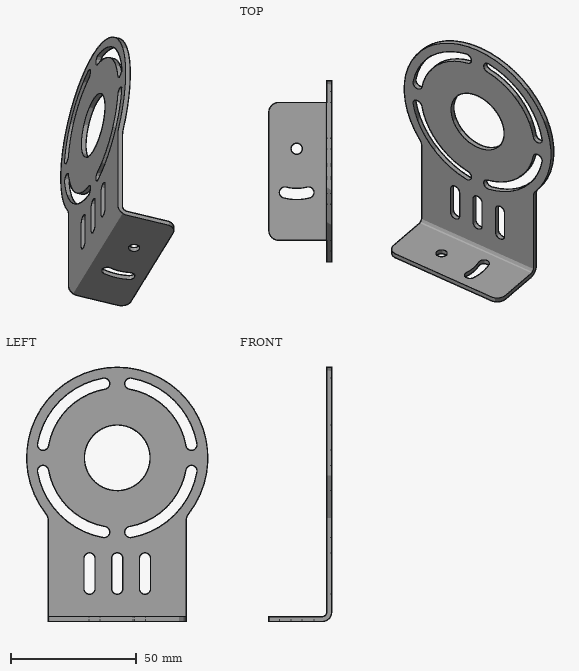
import cadquery as cq
import math


total_height = 101.0
foot_length = 25.0
plate_width = 54.8
head_diameter = 72.0
sheet = 2.0

bend_inner_radius = 1.8
foot_corner_radius = 4.0
neck_radius = 4.0

bore_diameter = 26.0
slot_width = 4.3
ring_radius = 29.9
ring_slot_count = 4
ring_end_angle = 10.0
upright_slot_count = 3
upright_slot_length = 16.4
upright_slot_pitch = 11.0
upright_slot_height = 19.1

pivot_diameter = 4.3
pivot_from_edge = 11.1
pivot_offset = 9.0
pivot_slot_radius = 18.0
pivot_slot_half_angle = 15.0

head_radius = head_diameter / 2
head_height = total_height - head_radius
half_width = plate_width / 2
bend_outer_radius = bend_inner_radius + sheet


def polar(center, radius, angle):
    """Point at an angle in degrees on a circle around the center."""
    turn = math.radians(angle)
    return (center[0] + radius * math.cos(turn), center[1] + radius * math.sin(turn))


def arc_slot(plane, center, radius, width, start, end, depth):
    """Curved slot with round ends, following a circle around the center."""
    inner = radius - width / 2
    outer = radius + width / 2
    middle = (start + end) / 2
    return (
        cq.Workplane(plane)
        .moveTo(*polar(center, inner, start))
        .threePointArc(polar(center, inner, middle), polar(center, inner, end))
        .tangentArcPoint(polar(center, outer, end), relative=False)
        .threePointArc(polar(center, outer, middle), polar(center, outer, start))
        .tangentArcPoint(polar(center, inner, start), relative=False)
        .close()
        .extrude(depth)
    )


def bent_sheet():
    """L-shaped strip with a rounded bend and rounded foot corners."""
    strip = (
        cq.Workplane("XZ")
        .moveTo(-foot_length, 0)
        .lineTo(-bend_outer_radius, 0)
        .radiusArc((0, bend_outer_radius), -bend_outer_radius)
        .lineTo(0, head_height)
        .lineTo(-sheet, head_height)
        .lineTo(-sheet, bend_outer_radius)
        .radiusArc((-bend_outer_radius, sheet), bend_inner_radius)
        .lineTo(-foot_length, sheet)
        .close()
        .extrude(half_width, both=True)
    )
    return strip.edges("|Z and <X").fillet(foot_corner_radius)


def round_head():
    """Disc at the top of the plate."""
    return cq.Workplane("YZ").center(0, head_height).circle(head_radius).extrude(-sheet)


def blend_neck(body):
    """Round the two inside corners where the head meets the plate sides."""
    neck_height = head_height - math.sqrt(head_radius**2 - half_width**2)
    for side in (-1, 1):
        corner = (-sheet / 2, side * half_width, neck_height)
        body = body.edges(cq.selectors.NearestToPointSelector(corner)).fillet(neck_radius)
    return body


def plate_openings():
    """Central bore, ring of curved slots and row of upright slots."""
    cuts = cq.Workplane("YZ").center(0, head_height).circle(bore_diameter / 2).extrude(-sheet)
    sector = 360 / ring_slot_count
    for index in range(ring_slot_count):
        start = index * sector + ring_end_angle
        end = (index + 1) * sector - ring_end_angle
        cuts = cuts.add(arc_slot("YZ", (0, head_height), ring_radius, slot_width, start, end, -sheet))
    upright_slots = (
        cq.Workplane("YZ")
        .center(0, upright_slot_height)
        .rarray(upright_slot_pitch, 1, upright_slot_count, 1)
        .slot2D(upright_slot_length, slot_width, 90)
        .extrude(-sheet)
    )
    return cuts.add(upright_slots).combine()


def foot_openings():
    """Pivot hole and the curved slot that swings around it."""
    pivot = (pivot_from_edge - foot_length, pivot_offset)
    hole = cq.Workplane("XY").center(*pivot).circle(pivot_diameter / 2).extrude(sheet)
    start = 270 - pivot_slot_half_angle
    end = 270 + pivot_slot_half_angle
    slot = arc_slot("XY", pivot, pivot_slot_radius, slot_width, start, end, sheet)
    return hole.add(slot).combine()


body = blend_neck(bent_sheet().union(round_head()))
result = body.cut(plate_openings()).cut(foot_openings())